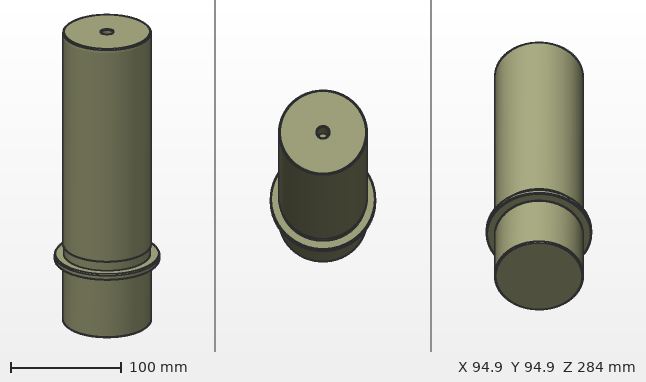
import cadquery as cq

total_height = 284.0
flange_bottom = 60.0
flange_thickness = 6.0
neck_top = 74.5

body_diameter = 80.0
neck_diameter = 78.5
flange_diameter = 94.9

base_chamfer = 1.0
flange_chamfer_width = 0.9
flange_top_chamfer_height = 1.5
flange_bottom_chamfer_height = 0.9
lead_in_width = 0.3
lead_in_height = 2.5
tip_chamfer = 1.0
relief_height = 0.9

hole_diameter = 10.5
hole_depth = 22.7
hole_chamfer = 0.9

body_radius = body_diameter / 2
neck_radius = neck_diameter / 2
flange_radius = flange_diameter / 2
flange_top = flange_bottom + flange_thickness
tip_radius = body_radius - lead_in_width
tip_bottom = total_height - tip_chamfer
relief_width = body_radius - neck_radius


def make_pillar():
    """Revolve the half profile of the stepped pillar about Z."""
    profile = [
        (0, 0),
        (body_radius - base_chamfer, 0),
        (body_radius, base_chamfer),
        (body_radius, flange_bottom - relief_height - relief_width),
        (neck_radius, flange_bottom - relief_height),
        (neck_radius, flange_bottom),
        (flange_radius - flange_chamfer_width, flange_bottom),
        (flange_radius, flange_bottom + flange_bottom_chamfer_height),
        (flange_radius, flange_top - flange_top_chamfer_height),
        (flange_radius - flange_chamfer_width, flange_top),
        (neck_radius, flange_top),
        (neck_radius, neck_top),
        (body_radius, neck_top + relief_width),
        (body_radius, tip_bottom - lead_in_height),
        (tip_radius, tip_bottom),
        (tip_radius - tip_chamfer, total_height),
        (0, total_height),
    ]
    return cq.Workplane("XZ").polyline(profile).close().revolve(360, (0, 0), (0, 1))


def make_hole():
    """Blind, countersunk centre hole opening at the top face."""
    hole_radius = hole_diameter / 2
    profile = [
        (0, total_height),
        (hole_radius + hole_chamfer, total_height),
        (hole_radius, total_height - hole_chamfer),
        (hole_radius, total_height - hole_depth),
        (0, total_height - hole_depth),
    ]
    return cq.Workplane("XZ").polyline(profile).close().revolve(360, (0, 0), (0, 1))


result = make_pillar().cut(make_hole())